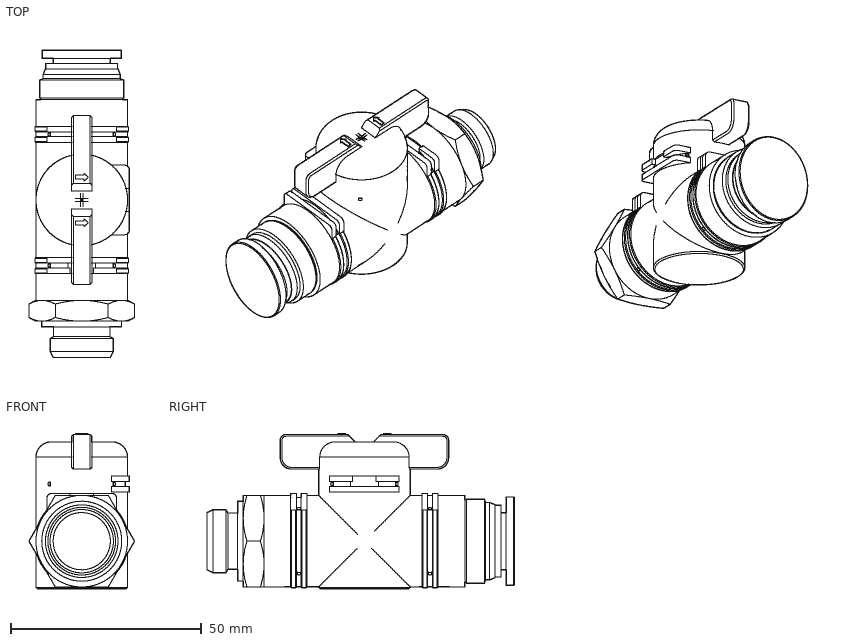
import cadquery as cq
import math


barrel_radius = 12.0
barrel_back_y = 26.3
barrel_front_y = -barrel_back_y
stem_bottom_z = -12.5
stem_top_z = 22.0
stem_chamfer = 0.4

back_end_y = 39.3
release_half_width = 10.4
release_half_height = 11.6
release_thickness = 2.25
release_chamfer = 0.25
collar_groove_y = 26.7
collar_groove_radius = 10.8
collar_radius = 11.05
collar_end_y = 31.4
collar_chamfer_end_y = 31.75
cone_large_radius = 10.15
cone_large_y = 32.8
cone_small_radius = 9.6
cone_small_y = 34.25
sleeve_radius = 9.4
sleeve_end_y = 35.8
back_neck_radius = 7.5

overall_length = 80.6
front_end_y = back_end_y - overall_length
nut_length = 5.5
nut_front_y = barrel_front_y - nut_length
nut_corner_radius = barrel_radius / math.cos(math.radians(30))
nut_chamfer_length = 1.0
flange_radius = 10.5
flange_length = 1.45
flange_front_y = nut_front_y - flange_length
front_neck_radius = 7.4
front_neck_end_y = -35.8
thread_radius = 8.3
thread_start_y = -36.3
thread_chamfer_y = -39.65
thread_end_radius = 7.5
seal_mouth_radius = 9.5
seal_floor_radius = 8.9
seal_depth = 1.0
seal_corner_radius = 1.0

tab_pair_y = 17.2
tab_pair_z = 15.0
plate_thickness = 1.5
plate_gap = 1.2
plate_offset = (plate_thickness + plate_gap) / 2
plate_half_width = 9.1
plate_top = 12.5
plate_corner_radius = 1.2
plate_root = 4.0
ring_radius = 12.25
ring_crest_width = 1.05
notch_half_width = 3.1
notch_floor = 11.45
pin_hole_diameter = 1.0
pin_hole_depth = 0.8
pin_hole_angles = (45, 135, 225, 315)

dome_fillet = 4.0
dome_top_z = stem_top_z + dome_fillet
wing_half_length = 22.1
wing_half_width = 2.7
wing_bottom_z = 18.9
wing_top_z = 28.0
wing_inner_y = 2.4
wing_slope_run = wing_top_z - dome_top_z
wing_top_radius = 1.5
wing_bottom_radius = 3.0
wing_edge_chamfer = 0.5

arrow_y = 6.0
arrow_length = 3.4
arrow_head_length = 1.05
arrow_shaft_width = 1.05
arrow_head_width = 2.0
arrow_height = 0.25
cross_length = 3.4
cross_arm_width = 0.7
cross_depth = 0.5


def turn_about_y(points):
    """Solid of revolution about Y from (radius, y) points; the axis closes the outline."""
    first_y = points[0][1]
    last_y = points[-1][1]
    outline = [(0, first_y)] + [(-radius, y) for radius, y in points] + [(0, last_y)]
    return cq.Workplane("XY").polyline(outline).close().revolve(360, (0, 0, 0), (0, 1, 0))


def make_barrel():
    barrel_length = barrel_back_y - barrel_front_y
    return cq.Workplane("XZ", origin=(0, barrel_back_y, 0)).circle(barrel_radius).extrude(barrel_length)


def make_stem():
    stem = cq.Workplane("XY", origin=(0, 0, stem_bottom_z)).circle(barrel_radius)
    return stem.extrude(stem_top_z - stem_bottom_z).faces("<Z").chamfer(stem_chamfer)


def make_push_in_end():
    release_inner_y = back_end_y - release_thickness
    turned = turn_about_y([
        (collar_groove_radius, barrel_back_y),
        (collar_groove_radius, collar_groove_y),
        (collar_radius, collar_groove_y),
        (collar_radius, collar_end_y),
        (cone_large_radius, collar_chamfer_end_y),
        (cone_large_radius, cone_large_y),
        (cone_small_radius, cone_small_y),
        (sleeve_radius, cone_small_y),
        (sleeve_radius, sleeve_end_y),
        (back_neck_radius, sleeve_end_y),
        (back_neck_radius, release_inner_y),
    ])
    release_ring = (
        cq.Workplane("XZ", origin=(0, back_end_y, 0))
        .ellipse(release_half_width, release_half_height)
        .extrude(release_thickness)
        .faces(">Y").chamfer(release_chamfer)
    )
    return turned.union(release_ring)


def make_nut():
    """Hexagon whose corners are cut back at both ends by a cone."""
    hexagon = (
        cq.Workplane("XZ", origin=(0, barrel_front_y, 0))
        .polygon(6, 2 * nut_corner_radius)
        .extrude(nut_length)
    )
    corner_cone = turn_about_y([
        (barrel_radius, nut_front_y),
        (nut_corner_radius, nut_front_y + nut_chamfer_length),
        (nut_corner_radius, barrel_front_y - nut_chamfer_length),
        (barrel_radius, barrel_front_y),
    ])
    return hexagon.intersect(corner_cone)


def make_threaded_end():
    """Flange with a seal recess around the neck, then the thread."""
    recess_floor_y = flange_front_y + seal_depth
    corner_outer_radius = front_neck_radius + seal_corner_radius
    corner_middle = seal_corner_radius * (1 - math.sqrt(0.5))
    return (
        cq.Workplane("XY")
        .moveTo(0, nut_front_y)
        .lineTo(-flange_radius, nut_front_y)
        .lineTo(-flange_radius, flange_front_y)
        .lineTo(-seal_mouth_radius, flange_front_y)
        .lineTo(-seal_floor_radius, recess_floor_y)
        .lineTo(-corner_outer_radius, recess_floor_y)
        .threePointArc(
            (-front_neck_radius - corner_middle, recess_floor_y - corner_middle),
            (-front_neck_radius, recess_floor_y - seal_corner_radius),
        )
        .lineTo(-front_neck_radius, front_neck_end_y)
        .lineTo(-thread_radius, thread_start_y)
        .lineTo(-thread_radius, thread_chamfer_y)
        .lineTo(-thread_end_radius, front_end_y)
        .lineTo(0, front_end_y)
        .close()
        .revolve(360, (0, 0, 0), (0, 1, 0))
    )


def make_ring(centre_y):
    """Low ring around the barrel with sloping sides."""
    half_base = plate_thickness / 2
    half_crest = ring_crest_width / 2
    return turn_about_y([
        (barrel_radius, centre_y - half_base),
        (ring_radius, centre_y - half_crest),
        (ring_radius, centre_y + half_crest),
        (barrel_radius, centre_y + half_base),
    ])


def make_plate():
    """Upright plate across the barrel top, centred on y = 0, its top corners rounded."""
    plate_height = plate_top - plate_root
    return (
        cq.Workplane("XY", origin=(0, 0, plate_root + plate_height / 2))
        .box(2 * plate_half_width, plate_thickness, plate_height)
        .edges("|Y and >Z").fillet(plate_corner_radius)
    )


def make_plate_pair():
    return make_plate().translate((0, plate_offset, 0)).union(make_plate().translate((0, -plate_offset, 0)))


def make_notch():
    """Cutter for the notch through the -Y plate of a pair and the flat between the plates."""
    depth = plate_top - notch_floor
    slot = cq.Workplane("XY", origin=(0, -plate_offset, notch_floor + depth / 2))
    slot = slot.box(2 * notch_half_width, plate_thickness, depth)
    flat = cq.Workplane("XY", origin=(0, 0, notch_floor + depth / 2))
    flat = flat.box(2 * plate_half_width, plate_gap, depth)
    return slot.union(flat)


def place_on_stem(tool):
    """Move a shape made for the barrel top to the +X side of the stem, -Y turned to +Z."""
    turned = tool.rotate((0, 0, 0), (1, 0, 0), -90).rotate((0, 0, 0), (0, 0, 1), -90)
    return turned.translate((0, 0, tab_pair_z))


def make_pin_holes():
    """Four radial blind-hole cutters around the Y axis, in the plane y = 0."""
    holes = cq.Workplane("XY")
    for angle in pin_hole_angles:
        hole = (
            cq.Workplane("XY", origin=(0, 0, barrel_radius - pin_hole_depth))
            .circle(pin_hole_diameter / 2)
            .extrude(2 * pin_hole_depth)
            .rotate((0, 0, 0), (0, 1, 0), angle)
        )
        holes = holes.add(hole)
    return holes.combine()


def make_housing():
    housing = make_barrel().union(make_stem())
    for end in (make_push_in_end(), make_nut(), make_threaded_end()):
        housing = housing.union(end)
    for pair_y in (tab_pair_y, -tab_pair_y):
        housing = housing.union(make_plate_pair().translate((0, pair_y, 0)))
        for ring_y in (pair_y - plate_offset, pair_y + plate_offset):
            housing = housing.union(make_ring(ring_y))
        housing = housing.cut(make_pin_holes().translate((0, pair_y, 0)))
    housing = housing.union(place_on_stem(make_plate_pair()))
    housing = housing.cut(place_on_stem(make_pin_holes()))
    housing = housing.cut(make_notch().translate((0, -tab_pair_y, 0)))
    return housing.cut(place_on_stem(make_notch()))


def make_dome():
    profile_middle = dome_fillet * math.sqrt(0.5)
    flat_radius = barrel_radius - dome_fillet
    return (
        cq.Workplane("XZ")
        .moveTo(0, stem_top_z)
        .lineTo(-barrel_radius, stem_top_z)
        .threePointArc(
            (-flat_radius - profile_middle, stem_top_z + profile_middle),
            (-flat_radius, dome_top_z),
        )
        .lineTo(0, dome_top_z)
        .close()
        .revolve(360, (0, 0, 0), (0, 1, 0))
    )


def make_wings():
    """Grip bar along Y, split over the dome by a V-shaped valley and cut clear of the stem below it."""
    bar_height = wing_top_z - wing_bottom_z
    bar = (
        cq.Workplane("XY", origin=(0, 0, wing_bottom_z + bar_height / 2))
        .box(2 * wing_half_width, 2 * wing_half_length, bar_height)
        .edges("|X and >Z").fillet(wing_top_radius)
        .edges("|X and <Z").fillet(wing_bottom_radius)
        .faces("<X or >X").chamfer(wing_edge_chamfer)
    )
    valley = (
        cq.Workplane("YZ")
        .polyline([
            (-wing_inner_y, dome_top_z),
            (wing_inner_y, dome_top_z),
            (wing_inner_y + wing_slope_run, wing_top_z),
            (-wing_inner_y - wing_slope_run, wing_top_z),
        ])
        .close()
        .extrude(wing_half_width, both=True)
    )
    stem_space = (
        cq.Workplane("XY", origin=(0, 0, wing_bottom_z))
        .circle(barrel_radius)
        .extrude(stem_top_z - wing_bottom_z)
    )
    return bar.cut(valley).cut(stem_space)


def make_arrow(centre_y):
    """Raised arrow on a wing, pointing to +X."""
    tip_x = arrow_length / 2
    neck_x = tip_x - arrow_head_length
    half_shaft = arrow_shaft_width / 2
    half_head = arrow_head_width / 2
    return (
        cq.Workplane("XY", origin=(0, centre_y, wing_top_z))
        .polyline([
            (-tip_x, -half_shaft),
            (neck_x, -half_shaft),
            (neck_x, -half_head),
            (tip_x, 0),
            (neck_x, half_head),
            (neck_x, half_shaft),
            (-tip_x, half_shaft),
        ])
        .close()
        .extrude(arrow_height)
    )


def make_cross():
    """Cutter for two crossed V-bottomed slots, deepest at the centre."""
    slot = (
        cq.Workplane("XZ")
        .polyline([
            (-cross_length / 2, dome_top_z),
            (cross_length / 2, dome_top_z),
            (0, dome_top_z - cross_depth),
        ])
        .close()
        .extrude(cross_arm_width / 2, both=True)
    )
    return slot.union(slot.rotate((0, 0, 0), (0, 0, 1), 90))


def make_knob():
    knob = make_dome().union(make_wings())
    for centre_y in (arrow_y, -arrow_y):
        knob = knob.union(make_arrow(centre_y))
    return knob.cut(make_cross())


housing = make_housing()
knob = make_knob()
result = cq.Compound.makeCompound([housing.solids().val(), knob.solids().val()])